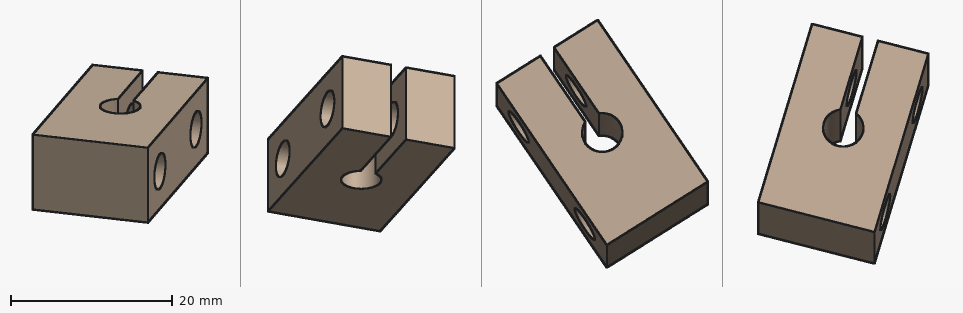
import cadquery as cq

width = 15.0
length = 25.0
height = 10.0

bore_diameter = 5.0
slot_width = 2.0

cross_hole_diameter = 4.6
cross_hole_end_distance = 5.0
cross_hole_spacing = length - 2 * cross_hole_end_distance


def make_block():
    return cq.Workplane("XY").box(width, length, height)


def make_bore():
    return cq.Workplane("XY").circle(bore_diameter / 2).extrude(height / 2, both=True)


def make_slot():
    """Slot from the bore axis out through the +Y end."""
    return cq.Workplane("XY").box(slot_width, length / 2, height).translate((0, length / 4, 0))


def make_cross_holes():
    return (
        cq.Workplane("YZ")
        .rarray(cross_hole_spacing, 0.25, 2, 1)
        .circle(cross_hole_diameter / 2)
        .extrude(width / 2, both=True)
    )


result = make_block().cut(make_bore()).cut(make_slot()).cut(make_cross_holes())